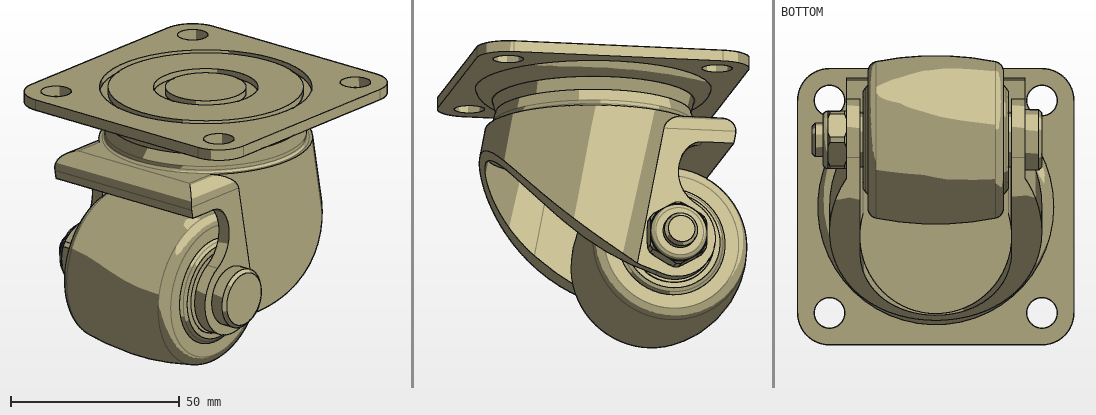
import cadquery as cq
import math


plate_side = 82.0
plate_thickness = 3.3
plate_corner_radius = 9.5
bolt_hole_spacing = 63.0
bolt_hole_diameter = 9.0
groove_depth = 2.0
groove_radii = [(29.0, 31.5), (12.0, 15.5)]

race_section_radius = 5.0
race_center_radius = 30.2
race_bottom = -6.9
throat_radius = 28.95
throat_height = -10.6
neck_end_radius = 29.95
collar_top = -14.1
collar_fillet = 0.8

outer_reach = 80.0
fork_top = -16.0
crown_bottom = -24.65
skirt_tilt = math.radians(10.9)
skirt_radius = 31.5
channel_back_reach = 29.5
cheek_outer_x = 26.5
cheek_inner_x = 22.5
tab_front_y = -37.5
tab_fillet = 5.0
crown_inner_fillet = 1.0
lobe_radius = 12.1
notch_radius = 11.2
notch_fillet = 6.0
skirt_back_y = 33.7
skirt_back_bottom = -24.4
skirt_bottom_middle = (14.9, -48.3)
skirt_bottom_end_angle = math.radians(-64)

axle_y = -19.83
axle_z = -54.0
wheel_radius = 25.0
tread_half_width = 20.1
tread_crown_radius = 89.0
tread_edge_fillet = 3.0
hub_root_radius = 16.2
hub_rim_radius = 15.4
hub_face_radius = 14.4
hub_rim_x = 20.85
hub_face_x = 21.55
hub_recess_radius = 12.7
hub_recess_depth = 0.7
spacer_radius = 8.0

shaft_radius = 5.0
shaft_chamfer = 1.0
shaft_end_x = -36.7
nut_width = 17.0
nut_face_x = -33.4
nut_hex_end_x = -32.0
nut_collar_radius = 8.5
nut_dome_fillet = 1.3
nut_corner_radius = 9.4
nut_corner_chamfer = 0.6
head_radius = 9.0
head_end_x = 31.5
head_chamfer = 1.0


def along_axle(x_start, x_end, radius):
    """Cylinder on the axle line, from x_start to x_end."""
    plane = cq.Workplane(cq.Plane((x_start, axle_y, axle_z), (0, 1, 0), (1, 0, 0)))
    return plane.circle(radius).extrude(x_end - x_start)




def make_plate():
    plate = cq.Workplane("XY").rect(plate_side, plate_side).extrude(-plate_thickness)
    plate = plate.edges("|Z").fillet(plate_corner_radius)
    holes = (
        cq.Workplane("XY")
        .rect(bolt_hole_spacing, bolt_hole_spacing, forConstruction=True)
        .vertices()
        .circle(bolt_hole_diameter / 2)
        .extrude(-plate_thickness)
    )
    return plate.cut(holes)


def cut_ring_grooves(body):
    for inner_radius, outer_radius in groove_radii:
        ring = cq.Workplane("XY").circle(outer_radius).circle(inner_radius).extrude(-groove_depth)
        body = body.cut(ring)
    return body


def make_neck():
    race_center_z = race_bottom + race_section_radius

    def race_point(z):
        return race_center_radius + math.sqrt(race_section_radius**2 - (z - race_center_z) ** 2)

    race_middle_z = (race_bottom - plate_thickness) / 2
    collar_bottom = fork_top + collar_fillet
    fillet_reach = collar_fillet * (1 - math.sqrt(0.5))
    return (
        cq.Workplane("XZ")
        .moveTo(0, -plate_thickness)
        .lineTo(race_point(-plate_thickness), -plate_thickness)
        .threePointArc((race_point(race_middle_z), race_middle_z), (race_center_radius, race_bottom))
        .lineTo(neck_end_radius, race_bottom)
        .lineTo(throat_radius, throat_height)
        .lineTo(neck_end_radius, collar_top)
        .lineTo(neck_end_radius, collar_bottom)
        .threePointArc(
            (neck_end_radius + fillet_reach, fork_top + fillet_reach),
            (neck_end_radius + collar_fillet, fork_top),
        )
        .lineTo(0, fork_top)
        .close()
        .revolve(360, (0, 0), (0, 1))
    )


def tilted_plane():
    """Plane square to the leaning skirt axis where it meets the fork top; its local X points to -Y."""
    axis = (0, math.sin(skirt_tilt), -math.cos(skirt_tilt))
    return cq.Plane((0, 0, fork_top), (0, -math.cos(skirt_tilt), -math.sin(skirt_tilt)), axis)


def make_skirt():
    """Leaning cylinder, longer than the fork at both ends."""
    return cq.Workplane(tilted_plane()).circle(skirt_radius).extrude(outer_reach, both=True)


def make_cheek_block():
    """Block between the outer cheek faces, with a leaning tab front and rounded top edges."""
    tab_top_y = tab_front_y - (fork_top - crown_bottom) * math.tan(skirt_tilt)
    block = (
        cq.Workplane("YZ")
        .moveTo(tab_top_y, fork_top)
        .lineTo(0, fork_top)
        .lineTo(0, -outer_reach)
        .lineTo(tab_front_y, -outer_reach)
        .lineTo(tab_front_y, crown_bottom)
        .close()
        .extrude(cheek_outer_x, both=True)
    )
    return block.faces(">Z").edges("<Y or |Y").fillet(tab_fillet)


def point_on_circle(center_y, center_z, radius, angle):
    return (center_y + radius * math.cos(angle), center_z + radius * math.sin(angle))


def make_side_outline():
    """The fork seen along X: crown, tab, notch, axle lobe and curved lower edge, as a wide prism."""
    notch_center_y = axle_y - lobe_radius
    notch_center_z = axle_z + math.sqrt((lobe_radius + notch_radius) ** 2 - lobe_radius**2)
    notch_fillet_z = crown_bottom - notch_fillet
    center_distance = notch_radius - notch_fillet
    fillet_angle = math.asin((notch_fillet_z - notch_center_z) / center_distance)
    notch_fillet_y = notch_center_y + center_distance * math.cos(fillet_angle)
    lobe_start_angle = math.atan2(notch_center_z - axle_z, notch_center_y - axle_y)

    def on_fillet(angle):
        return point_on_circle(notch_fillet_y, notch_fillet_z, notch_fillet, angle)

    def on_notch(angle):
        return point_on_circle(notch_center_y, notch_center_z, notch_radius, angle)

    def on_lobe(angle):
        return point_on_circle(axle_y, axle_z, lobe_radius, angle)

    return (
        cq.Workplane("YZ")
        .moveTo(-outer_reach, fork_top)
        .lineTo(-outer_reach, crown_bottom)
        .lineTo(notch_fillet_y, crown_bottom)
        .threePointArc(on_fillet((fillet_angle + math.pi / 2) / 2), on_fillet(fillet_angle))
        .threePointArc(on_notch(0), on_lobe(lobe_start_angle))
        .threePointArc(on_lobe(math.pi), on_lobe(skirt_bottom_end_angle))
        .threePointArc(skirt_bottom_middle, (skirt_back_y, skirt_back_bottom))
        .lineTo(skirt_back_y, fork_top)
        .close()
        .extrude(outer_reach, both=True)
    )


def make_wheel_channel():
    """Space for the wheel: open at the front, round at the back and closed above by the crown."""
    back_center = channel_back_reach - cheek_inner_x

    def back_center_y(z):
        return back_center / math.cos(skirt_tilt) + (fork_top - z) * math.tan(skirt_tilt)

    straight_part = (
        cq.Workplane("YZ")
        .moveTo(-outer_reach, crown_bottom)
        .lineTo(back_center_y(crown_bottom), crown_bottom)
        .lineTo(back_center_y(-outer_reach), -outer_reach)
        .lineTo(-outer_reach, -outer_reach)
        .close()
        .extrude(cheek_inner_x, both=True)
    )
    straight_part = straight_part.faces(">Z").edges("|Y").fillet(crown_inner_fillet)
    below_crown = (
        cq.Workplane("XY")
        .workplane(offset=crown_bottom)
        .rect(2 * outer_reach, 2 * outer_reach)
        .extrude(-outer_reach)
    )
    round_back = (
        cq.Workplane(tilted_plane())
        .center(-back_center, 0)
        .circle(cheek_inner_x)
        .extrude(2 * outer_reach)
        .intersect(below_crown)
    )
    return straight_part.union(round_back)


def make_fork():
    outside = make_skirt().union(make_cheek_block()).intersect(make_side_outline())
    return outside.cut(make_wheel_channel())


def make_bracket():
    bracket = make_plate().union(make_neck()).union(make_fork())
    bracket = cut_ring_grooves(bracket)
    return bracket.cut(along_axle(-cheek_outer_x, cheek_outer_x, shaft_radius))




def make_wheel():
    crown_center = wheel_radius - tread_crown_radius
    tread_edge_radius = crown_center + math.sqrt(tread_crown_radius**2 - tread_half_width**2)
    tread = (
        cq.Workplane("XY")
        .moveTo(-tread_half_width, 0)
        .lineTo(-tread_half_width, tread_edge_radius)
        .threePointArc((0, wheel_radius), (tread_half_width, tread_edge_radius))
        .lineTo(tread_half_width, 0)
        .close()
        .revolve(360, (0, 0), (1, 0))
    )
    tread = tread.faces("<X or >X").edges().fillet(tread_edge_fillet)
    recess_floor_x = hub_face_x - hub_recess_depth
    half_hub = [
        (0, 0),
        (0, hub_root_radius),
        (tread_half_width, hub_root_radius),
        (hub_rim_x, hub_rim_radius),
        (hub_face_x, hub_face_radius),
        (hub_face_x, hub_recess_radius),
        (recess_floor_x, hub_recess_radius),
        (recess_floor_x, spacer_radius),
        (cheek_inner_x, spacer_radius),
        (cheek_inner_x, 0),
    ]
    hub_side = cq.Workplane("XY").polyline(half_hub).close().revolve(360, (0, 0), (1, 0))
    wheel = tread.union(hub_side).union(hub_side.mirror("YZ")).translate((0, axle_y, axle_z))
    return wheel.cut(along_axle(-cheek_inner_x, cheek_inner_x, shaft_radius))




def make_nut():
    corner_radius = nut_width / math.sqrt(3)
    hex_length = nut_hex_end_x + cheek_outer_x
    hexagon = (
        cq.Workplane(cq.Plane((-cheek_outer_x, axle_y, axle_z), (0, 0, 1), (1, 0, 0)))
        .polygon(6, 2 * corner_radius)
        .extrude(hex_length)
    )
    corner_limit = along_axle(-cheek_outer_x, nut_hex_end_x, nut_corner_radius)
    corner_limit = corner_limit.edges().chamfer(nut_corner_chamfer)
    collar = along_axle(nut_hex_end_x, nut_face_x, nut_collar_radius)
    collar = collar.faces("<X").edges().fillet(nut_dome_fillet)
    return hexagon.intersect(corner_limit).union(collar)


def make_axle():
    shaft = along_axle(shaft_end_x, cheek_outer_x, shaft_radius).faces("<X").edges().chamfer(shaft_chamfer)
    head = along_axle(cheek_outer_x, head_end_x, head_radius).faces(">X").edges().chamfer(head_chamfer)
    return shaft.union(head).union(make_nut())


bracket = make_bracket()
wheel = make_wheel()
axle = make_axle()
result = cq.Compound.makeCompound([bracket.val(), wheel.val(), axle.val()])